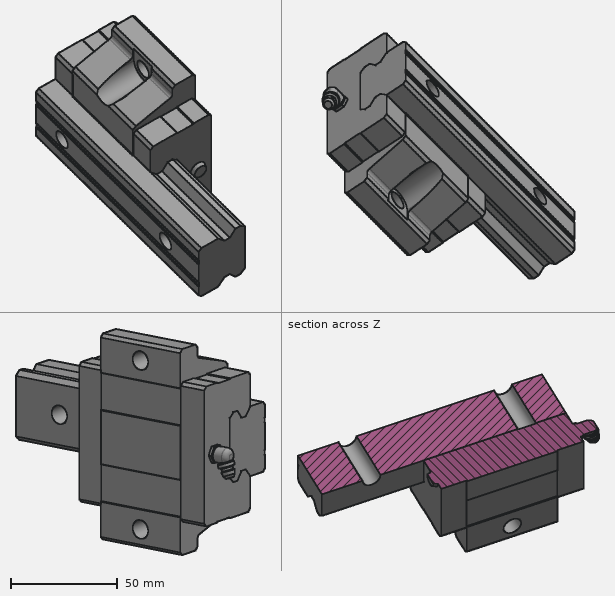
import cadquery as cq
import math


rail_length = 125.7
rail_half_width = 17.0
rail_height = 27.4
rail_base_chamfer = 1.6
rail_waist_half_width = 12.9
rail_flank_bottom_y = 11.5
rail_waist_bottom_y = 15.2
rail_waist_top_y = 18.4
rail_head_bottom_y = 21.6
rail_head_top_y = 24.7
rail_top_half_width = 14.7
rail_hole_diameter = 9.0
rail_hole_pitch = 80.0
rail_first_hole_x = 20.1
base_groove_width = 2.9
base_groove_depth = 0.34
base_groove_z = 7.8

total_height = 48.0
block_start_x = 13.7
block_length = 46.7
block_end_x = block_start_x + block_length
block_bottom_y = 11.1
flange_half_width = 50.0
flange_thickness = 13.5
flange_face_y = total_height - flange_thickness
flange_chamfer = 1.6
flange_root_z = 43.1
flange_root_radius = 2.0
slope_end_y = 12.9
slope_end_z = 36.8
block_bottom_half_width = 35.2
relief_inner_z = 13.0
relief_outer_z = 31.4
relief_depth = 0.34

carriage_length = 73.4
cap_half_width = 34.0
cap_bottom_y = rail_flank_bottom_y
cap_top_y = 47.4
cap_chamfer = 1.6
cap_recess_bottom_y = 27.1
cap_recess_top_y = 37.1
cap_recess_depth = 0.4

flange_hole_x = block_start_x + block_length / 2
flange_hole_z = 41.0
flange_hole_diameter = 9.0
spot_diameter = 14.2
spot_depth = 0.5
spot_outer_z = 48.9

nipple_y = 39.5
hex_across_flats = 8.0
hex_thickness = 1.5
elbow_diameter = 8.0
elbow_neck_diameter = 7.8
elbow_start = 2.0
elbow_end = 9.6
elbow_nose_radius = 2.6
spout_start_x = -5.3
spout_tilt = 20.0
neck_radius = 5.5 / 2
collar_radius = 8.0 / 2
head_radius = 6.6 / 2
head_taper_radius = 2.9
tip_radius = 1.9
bevel_radius = 3.3
collar_start, collar_full, collar_bevel, collar_end = 3.2, 3.7, 5.3, 5.9
head_start, head_full, head_taper_end, spout_length = 7.1, 7.5, 9.5, 11.0
plug_base_diameter = 8.5
plug_tip_diameter = 6.8
plug_length = 2.0


def extrude_along_x(points, start_x, length):
    """Solid with a closed outline of (y, z) points, running along +X."""
    return cq.Workplane("YZ", origin=(start_x, 0, 0)).polyline(points).close().extrude(length)


def box_between(x_range, y_range, z_range):
    """Axis-aligned box from its lower and upper limits."""
    sizes = [high - low for low, high in (x_range, y_range, z_range)]
    corner = (x_range[0], y_range[0], z_range[0])
    return cq.Workplane("XY", origin=corner).box(*sizes, centered=False)


def mirrored_in_z(points):
    """Closed outline from its +Z half, with the -Z half added in reverse."""
    return points + [(y, -z) for y, z in reversed(points)]


def groove_pair(points, start_x, length):
    """Cutters along X with the given (y, z) outline, one on each side of the middle plane."""
    cutter = extrude_along_x(points, start_x, length)
    return [cutter, cutter.mirror("XY")]


def cylinder_along_y(diameter, x, z, start_y, end_y):
    axis = cq.Vector(0, 1, 0)
    base = cq.Vector(x, start_y, z)
    return cq.Workplane(cq.Solid.makeCylinder(diameter / 2, end_y - start_y, base, axis))


def rail_blank():
    """Rail without holes or grooves; the carriage channel has the same outline."""
    half = [
        (0, rail_half_width - rail_base_chamfer),
        (rail_base_chamfer, rail_half_width),
        (rail_flank_bottom_y, rail_half_width),
        (rail_waist_bottom_y, rail_waist_half_width),
        (rail_waist_top_y, rail_waist_half_width),
        (rail_head_bottom_y, rail_half_width),
        (rail_head_top_y, rail_half_width),
        (rail_height, rail_top_half_width),
    ]
    return extrude_along_x(mirrored_in_z(half), 0, rail_length)


def make_rail():
    rail = rail_blank()
    for hole in range(2):
        hole_x = rail_first_hole_x + hole * rail_hole_pitch
        rail = rail.cut(cylinder_along_y(rail_hole_diameter, hole_x, 0, 0, rail_height))
    inner_z = base_groove_z - base_groove_width / 2
    outer_z = base_groove_z + base_groove_width / 2
    groove = [
        (0, inner_z),
        (base_groove_depth, inner_z + base_groove_depth),
        (base_groove_depth, outer_z - base_groove_depth),
        (0, outer_z),
    ]
    for side_groove in groove_pair(groove, 0, rail_length):
        rail = rail.cut(side_groove)
    return rail


def make_flanged_block():
    half = [
        (total_height, flange_half_width - flange_chamfer),
        (total_height - flange_chamfer, flange_half_width),
        (flange_face_y + flange_chamfer, flange_half_width),
        (flange_face_y, flange_half_width - flange_chamfer),
        (flange_face_y, flange_root_z),
        (slope_end_y, slope_end_z),
        (block_bottom_y, block_bottom_half_width),
    ]
    block = extrude_along_x(mirrored_in_z(half), block_start_x, block_length)

    for side in (-1, 1):
        root = cq.selectors.NearestToPointSelector((flange_hole_x, flange_face_y, side * flange_root_z))
        block = block.edges("|X").edges(root).fillet(flange_root_radius)

    relief = [
        (total_height, relief_inner_z),
        (total_height - relief_depth, relief_inner_z + relief_depth),
        (total_height - relief_depth, relief_outer_z - relief_depth),
        (total_height, relief_outer_z),
    ]
    for side_relief in groove_pair(relief, block_start_x, block_length):
        block = block.cut(side_relief)

    for side in (-1, 1):
        block = block.cut(flange_hole_cutter(side))
    return block


def flange_hole_cutter(side):
    """Through hole and round-ended spot face of the flange on one side (+1 or -1) in Z."""
    hole_z = side * flange_hole_z
    spot_floor_y = flange_face_y + spot_depth
    hole = cylinder_along_y(flange_hole_diameter, flange_hole_x, hole_z, 0, total_height)
    spot = cylinder_along_y(spot_diameter, flange_hole_x, hole_z, 0, spot_floor_y)
    spot_x = (flange_hole_x - spot_diameter / 2, flange_hole_x + spot_diameter / 2)
    spot_z = sorted((hole_z, side * spot_outer_z))
    return hole.union(spot).union(box_between(spot_x, (0, spot_floor_y), spot_z))


def make_end_cap(start_x, end_x):
    cap = box_between((start_x, end_x), (cap_bottom_y, cap_top_y), (-cap_half_width, cap_half_width))
    cap = cap.edges("|X").chamfer(cap_chamfer)
    recess_floor_z = cap_half_width - cap_recess_depth
    recess = [
        (cap_recess_bottom_y, cap_half_width),
        (cap_recess_bottom_y + cap_recess_depth, recess_floor_z),
        (cap_recess_top_y - cap_recess_depth, recess_floor_z),
        (cap_recess_top_y, cap_half_width),
    ]
    for side_recess in groove_pair(recess, start_x, end_x - start_x):
        cap = cap.cut(side_recess)
    return cap


def make_grease_nipple():
    """Angled nipple on the cap at X = 0: hexagon, short neck, round-nosed elbow and tilted spout."""
    mount = cq.Workplane("YZ", origin=(0, nipple_y, 0))
    hex_across_corners = hex_across_flats / math.cos(math.radians(30))
    hexagon = mount.polygon(6, hex_across_corners).extrude(-hex_thickness)
    elbow_neck = mount.circle(elbow_neck_diameter / 2).extrude(-elbow_start)
    elbow = mount.workplane(offset=-elbow_start).circle(elbow_diameter / 2)
    elbow = elbow.extrude(elbow_start - elbow_end)
    elbow = elbow.faces("<X").edges().fillet(elbow_nose_radius)

    spout_section = [
        (0, 0),
        (neck_radius, 0),
        (neck_radius, collar_start),
        (bevel_radius, collar_start),
        (collar_radius, collar_full),
        (collar_radius, collar_bevel),
        (neck_radius, collar_end),
        (neck_radius, head_start),
        (head_radius, head_full),
        (head_taper_radius, head_taper_end),
        (tip_radius, spout_length),
        (0, spout_length),
    ]
    tilt = math.radians(spout_tilt)
    spout_plane = cq.Plane(
        origin=(spout_start_x, nipple_y, 0),
        xDir=(math.cos(tilt), 0, -math.sin(tilt)),
        normal=(0, 1, 0),
    )
    spout = cq.Workplane(spout_plane).polyline(spout_section).close().revolve(360, (0, 0), (0, 1))
    return hexagon.union(elbow_neck).union(elbow).union(spout)


def make_plug():
    """Tapered plug head on the far end cap, in line with the nipple."""
    base = cq.Vector(carriage_length, nipple_y, 0)
    cone = cq.Solid.makeCone(
        plug_base_diameter / 2, plug_tip_diameter / 2, plug_length, base, cq.Vector(1, 0, 0)
    )
    return cq.Workplane(cone)


def make_carriage():
    carriage = make_flanged_block()
    carriage = carriage.union(make_end_cap(0, block_start_x))
    carriage = carriage.union(make_end_cap(block_end_x, carriage_length))
    carriage = carriage.cut(rail_blank())
    return carriage.union(make_grease_nipple()).union(make_plug())


rail = make_rail()
carriage = make_carriage()
result = cq.Compound.makeCompound([rail.val(), *carriage.solids().vals()])